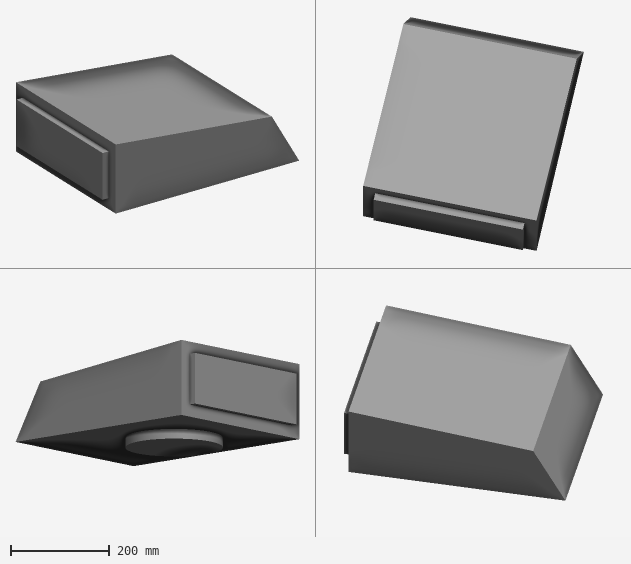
import cadquery as cq

width = 360.0
total_length = 465.0
total_height = 175.0
rear_slope_run = 67.0
rear_edge_height = 116.2

panel_thickness = 15.0
panel_border = 25.0

spigot_diameter = 198.0
spigot_height = 20.0
spigot_setback = 180.0

body_length = total_length - panel_thickness
body_height = total_height - spigot_height


def make_housing():
    """Side profile extruded across X; front face at Y = 0, underside at Z = 0."""
    profile = [
        (0, 0),
        (body_length, 0),
        (body_length - rear_slope_run, rear_edge_height),
        (0, body_height),
    ]
    return cq.Workplane("YZ").polyline(profile).close().extrude(width / 2, both=True)


def make_front_panel():
    panel_width = width - 2 * panel_border
    panel_height = body_height - 2 * panel_border
    return (
        cq.Workplane("XZ")
        .center(0, body_height / 2)
        .rect(panel_width, panel_height)
        .extrude(panel_thickness)
    )


def make_spigot():
    return (
        cq.Workplane("XY")
        .center(0, spigot_setback)
        .circle(spigot_diameter / 2)
        .extrude(-spigot_height)
    )


result = make_housing().union(make_front_panel()).union(make_spigot())